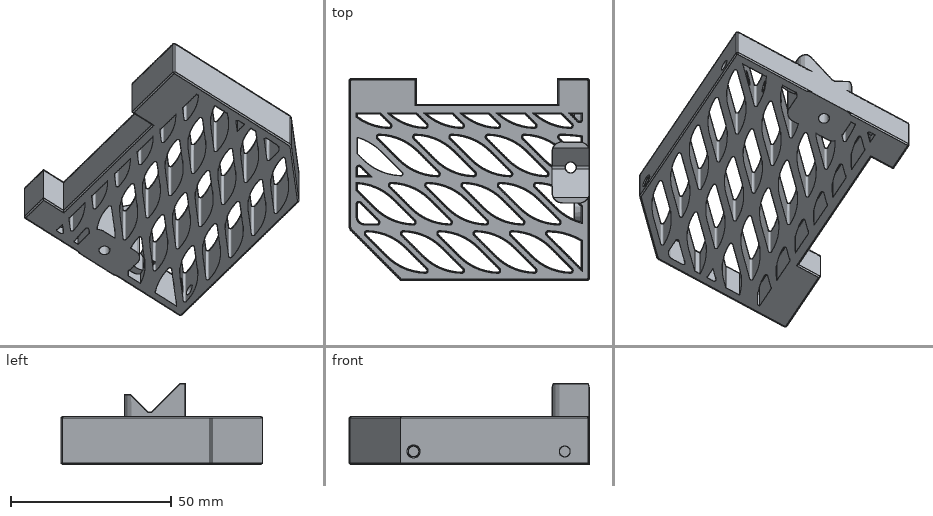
import cadquery as cq
import math

LENGTH = 75.0
WIDTH = 63.0
BODY_HEIGHT = 15.0
CORNER_CUT = 16.05
NOTCH_LEFT = 21.0
NOTCH_RIGHT = 65.0
NOTCH_FLOOR = 55.0
EDGE_CHAMFER = 0.45

WALL = 2.55
WINDOW_LEFT = WALL
WINDOW_RIGHT = LENGTH - WALL
WINDOW_BACK = 51.9
CELL_HALF_HEIGHT = 6.3
CELL_REACH = 4.05
CELL_ARC_RADIUS = 17.4
CELL_TIP_X = CELL_REACH + CELL_HALF_HEIGHT
CELL_ARC_DROP = CELL_ARC_RADIUS * (1 - math.cos(math.radians(45)))
CELL_ARC_END_Y = CELL_HALF_HEIGHT - CELL_ARC_DROP
CELL_ARC_END_X = CELL_REACH - CELL_ARC_END_Y
CELL_ARC_START_X = CELL_ARC_END_X - CELL_ARC_RADIUS * math.sin(math.radians(45))
CELL_TIP_RADIUS = 0.5
CELL_CHAMFER = 0.4
PITCH_X = 11.3
PITCH_Y = 15.1
ROW_SHIFT = PITCH_X / 3
WALL_ARC_RADII = (45.0, 45.0, 45.0, 21.0)
ROWS = len(WALL_ARC_RADII)
FIRST_CELL_X = 3.4
FIRST_CELL_Y = 54.1
CORNER_CELL_RADIUS = 2.4
PLAIN_CELL_ROW = 1

POST_LEFT = 63.4
POST_FRONT = 24.15
POST_BACK = 43.2
FRONT_POST_RADIUS = 6.4 / 2
BACK_POST_RADIUS = 6.0 / 2
POST_TOP = 25.3
BACK_ARM_TOP = 21.8
SEAT_FLOOR = 16.35
SEAT_FLOOR_WIDTH = 1.05
SEAT_Y = 35.25
POST_HOLE_DIAMETER = 3.4

FRONT_HOLE_Z = 4.05
LEFT_HOLE_X = 20.1
LEFT_HOLE_DIAMETER = 3.3
LEFT_HOLE_DEPTH = 1.9
LEFT_HOLE_CHAMFER = 0.4
RIGHT_HOLE_X = 67.35
RIGHT_HOLE_DIAMETER = 3.4

BOSS_RADIUS = 4.4
BOSS_LEFT = 70.3
BOSS_Z = BODY_HEIGHT / 2
BOSS_YS = (21.75, 50.25)


def box(x0, x1, y0, y1, height):
    """Block standing on the ground plane between the given X and Y limits."""
    return cq.Workplane("XY").box(x1 - x0, y1 - y0, height, centered=False).translate((x0, y0, 0))


def make_block():
    outline = [
        (CORNER_CUT, 0),
        (LENGTH, 0),
        (LENGTH, WIDTH),
        (NOTCH_RIGHT, WIDTH),
        (NOTCH_RIGHT, NOTCH_FLOOR),
        (NOTCH_LEFT, NOTCH_FLOOR),
        (NOTCH_LEFT, WIDTH),
        (0, WIDTH),
        (0, CORNER_CUT),
    ]
    block = cq.Workplane("XY").polyline(outline).close().extrude(BODY_HEIGHT)
    block = block.edges("|Z").edges("<X or >X").chamfer(EDGE_CHAMFER)
    return block.faces("<Z or >Z").edges().chamfer(EDGE_CHAMFER)


def make_leaf(x, y):
    """Point-symmetric cell: level tips and 45-degree sides, blended by tangent arcs."""
    leaf = (
        cq.Workplane("XY")
        .moveTo(-CELL_TIP_X, CELL_HALF_HEIGHT)
        .lineTo(CELL_ARC_START_X, CELL_HALF_HEIGHT)
        .tangentArcPoint((CELL_ARC_END_X, CELL_ARC_END_Y), relative=False)
        .lineTo(CELL_TIP_X, -CELL_HALF_HEIGHT)
        .lineTo(-CELL_ARC_START_X, -CELL_HALF_HEIGHT)
        .tangentArcPoint((-CELL_ARC_END_X, -CELL_ARC_END_Y), relative=False)
        .close()
        .extrude(BODY_HEIGHT)
    )
    return leaf.edges("|Z").edges("<X or >X").fillet(CELL_TIP_RADIUS).translate((x, y, 0))


def make_wall_leaf(x, y, arc_radius):
    """Cell cut short by the right wall: a straight lower side and a flatter upper arc."""
    side_x = x - CELL_TIP_X
    arc_x = x + CELL_ARC_START_X
    top = y + CELL_HALF_HEIGHT
    arc_run = WINDOW_RIGHT - arc_x
    arc_end_y = top - arc_radius + math.sqrt(arc_radius**2 - arc_run**2)
    leaf = (
        cq.Workplane("XY")
        .moveTo(side_x, top)
        .lineTo(arc_x, top)
        .tangentArcPoint((WINDOW_RIGHT, arc_end_y), relative=False)
        .lineTo(WINDOW_RIGHT, top - (WINDOW_RIGHT - side_x))
        .close()
        .extrude(BODY_HEIGHT)
    )
    return leaf.edges("|Z and <X").fillet(CELL_TIP_RADIUS)


def row_y(row):
    return FIRST_CELL_Y - row * PITCH_Y


def row_x(row):
    """Centre of the first cell in a row; each row is stepped sideways from the one behind."""
    return FIRST_CELL_X + row * ROW_SHIFT


def slant_x(row, y):
    """X, at a given Y, of the right slanted side of the cell one pitch before a row's first cell."""
    return row_x(row) - PITCH_X + CELL_REACH - (y - row_y(row))


def make_triangle_cell(row):
    """Flat-bottomed cell between the left wall and a slanted side."""
    bottom = row_y(row) - CELL_HALF_HEIGHT
    slant_end = slant_x(row, bottom)
    top = bottom + slant_end - WINDOW_LEFT
    corners = [(WINDOW_LEFT, bottom), (slant_end, bottom), (WINDOW_LEFT, top)]
    cell = cq.Workplane("XY").polyline(corners).close().extrude(BODY_HEIGHT)
    return cell.edges("|Z and >Y").fillet(CELL_TIP_RADIUS)


def make_rounded_triangle_cell(row):
    """Triangle cell with a rounded tip and a larger round next to the cut-off body corner."""
    cell = make_triangle_cell(row)
    cell = cell.edges("|Z and >X").fillet(CELL_TIP_RADIUS)
    return cell.edges(cq.selectors.NearestToPointSelector(
        (WINDOW_LEFT, row_y(row) - CELL_HALF_HEIGHT, BODY_HEIGHT / 2)
    )).fillet(CORNER_CELL_RADIUS)


def make_lattice_block():
    window = box(WINDOW_LEFT, WINDOW_RIGHT, 0, WINDOW_BACK, BODY_HEIGHT)
    block = make_block()
    cells = [make_triangle_cell(1), make_rounded_triangle_cell(2)]
    for row in range(ROWS):
        x = row_x(row)
        if row == PLAIN_CELL_ROW:
            x += PITCH_X
        while x < WINDOW_RIGHT - ROW_SHIFT:
            cells.append(make_leaf(x, row_y(row)).intersect(window))
            x += PITCH_X
        if x - CELL_TIP_X < WINDOW_RIGHT:
            wall_leaf = make_wall_leaf(x, row_y(row), WALL_ARC_RADII[row])
            if row == 0:
                wall_leaf = wall_leaf.edges("|Z and <Y").fillet(CELL_TIP_RADIUS)
            cells.append(wall_leaf.intersect(window))
    for cell in cells:
        block = block.cut(cell)
    rims = cq.selectors.BoxSelector(
        (WINDOW_LEFT - 0.1, EDGE_CHAMFER + 0.1, BODY_HEIGHT - 0.1),
        (WINDOW_RIGHT + 0.1, WINDOW_BACK + 0.1, BODY_HEIGHT + 0.1),
        boundingbox=True,
    )
    block = block.edges(rims).chamfer(CELL_CHAMFER)
    plain_cell = make_leaf(row_x(PLAIN_CELL_ROW), row_y(PLAIN_CELL_ROW))
    return block.cut(plain_cell.intersect(window))


def make_post():
    post = box(POST_LEFT, LENGTH, POST_FRONT, POST_BACK, POST_TOP)
    post = post.edges("|Z and <Y").fillet(FRONT_POST_RADIUS)
    post = post.edges("|Z and >Y").fillet(BACK_POST_RADIUS)
    seat_front = SEAT_Y - SEAT_FLOOR_WIDTH / 2
    seat_back = SEAT_Y + SEAT_FLOOR_WIDTH / 2
    seat = [
        (seat_front, SEAT_FLOOR),
        (seat_back, SEAT_FLOOR),
        (seat_back + BACK_ARM_TOP - SEAT_FLOOR, BACK_ARM_TOP),
        (POST_BACK, BACK_ARM_TOP),
        (POST_BACK, POST_TOP),
        (seat_front - (POST_TOP - SEAT_FLOOR), POST_TOP),
    ]
    return post.cut(cq.Workplane("YZ").polyline(seat).close().extrude(LENGTH))


def make_boss(y):
    length = LENGTH - WALL / 2 - BOSS_LEFT
    return (
        cq.Workplane("YZ", origin=(BOSS_LEFT, y, BOSS_Z))
        .circle(BOSS_RADIUS)
        .extrude(length)
    )


def front_hole(x, diameter, depth):
    return (
        cq.Workplane("XZ", origin=(x, 0, FRONT_HOLE_Z))
        .circle(diameter / 2)
        .extrude(-depth)
    )


def make_left_hole():
    """Blind hole with a chamfered mouth."""
    hole = front_hole(LEFT_HOLE_X, LEFT_HOLE_DIAMETER, LEFT_HOLE_DEPTH)
    radius = LEFT_HOLE_DIAMETER / 2
    mouth = cq.Solid.makeCone(
        radius + LEFT_HOLE_CHAMFER,
        radius,
        LEFT_HOLE_CHAMFER,
        pnt=cq.Vector(LEFT_HOLE_X, 0, FRONT_HOLE_Z),
        dir=cq.Vector(0, 1, 0),
    )
    return hole.union(cq.Workplane(mouth))


def make_post_hole():
    center_x = (POST_LEFT + LENGTH) / 2
    return (
        cq.Workplane("XY")
        .center(center_x, SEAT_Y)
        .circle(POST_HOLE_DIAMETER / 2)
        .extrude(POST_TOP)
    )


result = make_lattice_block().union(make_post())
for boss_y in BOSS_YS:
    result = result.union(make_boss(boss_y))
result = result.cut(make_post_hole())
result = result.cut(make_left_hole())
result = result.cut(front_hole(RIGHT_HOLE_X, RIGHT_HOLE_DIAMETER, POST_FRONT))